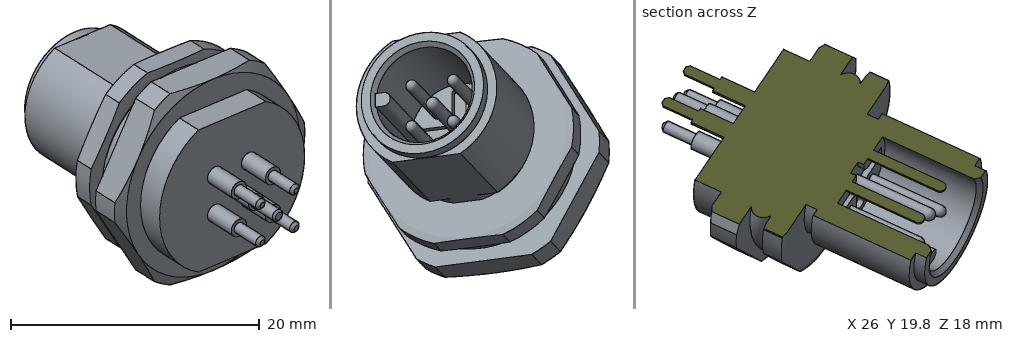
import cadquery as cq
import math


nose_end = 1.0
thread_end = 10.0
flange_start = 11.0
flange_end = 12.95
nut_start = 14.75
nut_end = 17.58
rear_end = 20.0
pin_step = 23.0
tail_end = 26.0

nose_diameter = 10.43
thread_diameter = 11.99
neck_diameter = 10.76
shell_flats = 10.5
rear_diameter = 15.08
rear_flats = 13.36

mouth_diameter = 8.9
bore_diameter = 8.2
mouth_depth = 0.45
insert_face = 8.85
cross_depth = 0.52
cross_half_length = 3.54
cross_width = 1.17
cross_inner_fillet = 0.83
cross_tip_fillet = 0.13
key_start = 0.25
key_outer_offset = 4.13
key_inner_offset = 2.85
key_fillet = 0.52

flange_across_flats = 16.95
flange_corner_diameter = 17.95
flange_face_diameter = 16.75
flange_bevel = 0.1
nut_across_flats = 18.0
nut_corner_diameter = 19.79
nut_bevel = 0.45
seal_outer_diameter = 16.38
seal_cord_diameter = 1.98

pin_spacing = 3.54
pin_tip = 1.98
outer_pin_diameter = 1.0
outer_sleeve_diameter = 1.59
outer_tail_chamfer = 0.25
center_pin_diameter = 1.07
center_sleeve_diameter = 1.5
center_tail_chamfer = 0.18
center_tail_setback = 0.08


def at(x):
    """Work plane across the axis, with local axes Y and Z."""
    return cq.Workplane("YZ", origin=(x, 0, 0))


def disc(start, end, diameter):
    return at(start).circle(diameter / 2).extrude(end - start)


def flatted_disc(start, end, diameter, flats):
    """Disc with two parallel flats, facing +Z and -Z."""
    slab = at(start).rect(2 * diameter, flats).extrude(end - start)
    return disc(start, end, diameter).intersect(slab)


def hexagon(start, end, across_flats, corner_profile):
    """Hexagon with corners on +Y and -Y, trimmed by a turned (x, radius) profile."""
    prism = at(start).polygon(6, across_flats / math.cos(math.pi / 6)).extrude(end - start)
    points = [(start, 0)] + corner_profile + [(end, 0)]
    turned = cq.Workplane("XY").polyline(points).close().revolve(360, (0, 0, 0), (1, 0, 0))
    return prism.intersect(turned)


def flange():
    face_radius = flange_face_diameter / 2
    corner_radius = flange_corner_diameter / 2
    profile = [
        (flange_start, face_radius),
        (flange_start + flange_bevel, corner_radius),
        (flange_end - flange_bevel, corner_radius),
        (flange_end, face_radius),
    ]
    return hexagon(flange_start, flange_end, flange_across_flats, profile)


def nut():
    corner_radius = nut_corner_diameter / 2
    profile = [
        (nut_start, corner_radius),
        (nut_end - nut_bevel, corner_radius),
        (nut_end, nut_across_flats / 2),
    ]
    return hexagon(nut_start, nut_end, nut_across_flats, profile)


def seal():
    """Sealing ring squeezed between flange and nut, with the solid core inside it."""
    cord_radius = seal_cord_diameter / 2
    ring_radius = seal_outer_diameter / 2 - cord_radius
    middle = (flange_end + nut_start) / 2
    ring = (
        cq.Workplane("XY")
        .center(middle, ring_radius)
        .circle(cord_radius)
        .revolve(360, (0, -ring_radius, 0), (1, -ring_radius, 0))
    )
    gap = disc(flange_end, nut_start, seal_outer_diameter + seal_cord_diameter)
    return ring.intersect(gap).union(disc(flange_end, nut_start, 2 * ring_radius))


def socket():
    """Bore with a conical mouth."""
    points = [
        (0, 0),
        (0, mouth_diameter / 2),
        (mouth_depth, bore_diameter / 2),
        (insert_face, bore_diameter / 2),
        (insert_face, 0),
    ]
    return cq.Workplane("XY").polyline(points).close().revolve(360, (0, 0, 0), (1, 0, 0))


def cross_recess():
    """Shallow cross in the insert face with rounded inner corners and arm tips."""
    plane = at(insert_face)
    length = 2 * cross_half_length
    upright = plane.rect(cross_width, length).extrude(cross_depth)
    level = plane.rect(length, cross_width).extrude(cross_depth)
    inner = cq.selectors.BoxSelector(
        (insert_face, -cross_width, -cross_width),
        (insert_face + cross_depth, cross_width, cross_width),
    )
    cross = upright.union(level)
    tips = cross.edges("|X").edges(cq.selectors.InverseSelector(inner))
    cross = tips.fillet(cross_tip_fillet)
    return cross.edges("|X").edges(inner).fillet(cross_inner_fillet)


def key():
    """Coding key along the +Y side of the bore, sunk slightly into its wall."""
    length = insert_face + cross_depth - key_start
    bar = (
        at(key_start)
        .center((key_outer_offset + key_inner_offset) / 2, 0)
        .rect(key_outer_offset - key_inner_offset, cross_width)
        .extrude(length)
    )
    return bar.edges("|X and <Y").fillet(key_fillet)


def pin(y, z, tip, diameter, sleeve_diameter, tail, tail_chamfer):
    """Contact pin with a domed tip, a thicker sleeve at the rear and a chamfered tail."""
    radius = diameter / 2
    shank = disc(tip + radius, tail, diameter).faces(">X").chamfer(tail_chamfer)
    dome = cq.Workplane("XY", origin=(tip + radius, 0, 0)).sphere(radius)
    sleeve = disc(rear_end, pin_step, sleeve_diameter)
    return shank.union(dome).union(sleeve).translate((0, y, z))


shell = (
    disc(0, nose_end, nose_diameter)
    .union(flatted_disc(nose_end, thread_end, thread_diameter, shell_flats))
    .union(flatted_disc(thread_end, flange_start, neck_diameter, shell_flats))
    .union(flange())
    .union(seal())
    .union(nut())
    .union(flatted_disc(nut_end, rear_end, rear_diameter, rear_flats))
)
result = shell.cut(socket()).cut(cross_recess()).union(key())

for y_side in (-1, 1):
    for z_side in (-1, 1):
        result = result.union(
            pin(
                y_side * pin_spacing / 2,
                z_side * pin_spacing / 2,
                pin_tip,
                outer_pin_diameter,
                outer_sleeve_diameter,
                tail_end,
                outer_tail_chamfer,
            )
        )
result = result.union(
    pin(
        0,
        0,
        pin_tip,
        center_pin_diameter,
        center_sleeve_diameter,
        tail_end - center_tail_setback,
        center_tail_chamfer,
    )
)